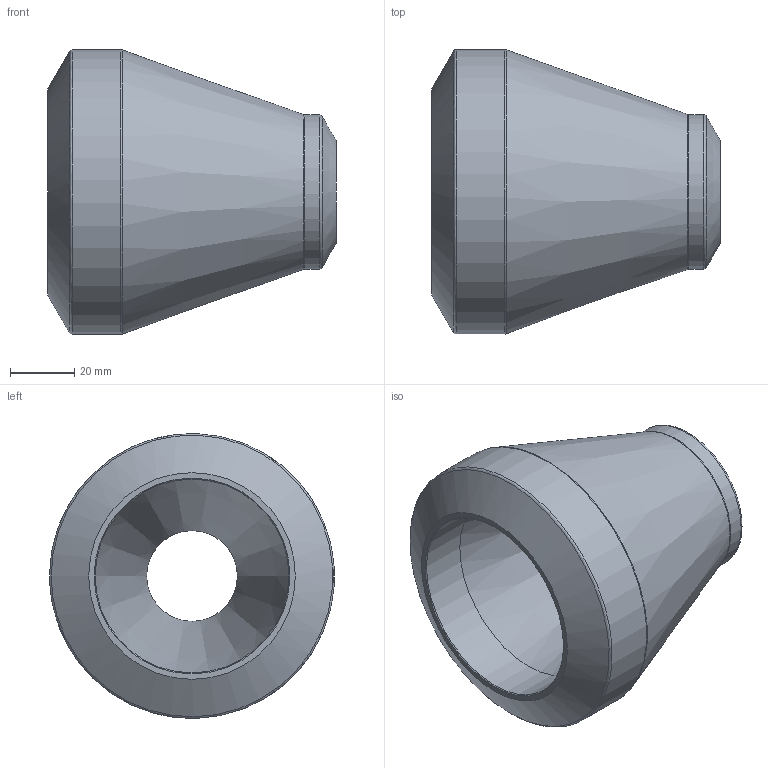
import cadquery as cq
import math


LENGTH = 90.0
LARGE_OUTER_DIAMETER = 88.9
LARGE_BORE_DIAMETER = 60.5
SMALL_OUTER_DIAMETER = 48.3
SMALL_BORE_DIAMETER = 28.3

LAND_WIDTH = 2.0
BEVEL_ANGLE = math.radians(30)

LARGE_OUTER_STRAIGHT = 23.0
LARGE_BORE_STRAIGHT = 15.0
SMALL_STRAIGHT = 10.0

EDGE_RADIUS = 1.0
MOUTH_CHAMFER = 0.3

large_outer_radius = LARGE_OUTER_DIAMETER / 2
large_bore_radius = LARGE_BORE_DIAMETER / 2
small_outer_radius = SMALL_OUTER_DIAMETER / 2
small_bore_radius = SMALL_BORE_DIAMETER / 2
large_land_radius = large_bore_radius + LAND_WIDTH
small_land_radius = small_bore_radius + LAND_WIDTH

large_bevel_end = (large_outer_radius - large_land_radius) * math.tan(BEVEL_ANGLE)
outer_cone_start = LARGE_OUTER_STRAIGHT
cone_end = LENGTH - SMALL_STRAIGHT
small_bevel_start = LENGTH - (small_outer_radius - small_land_radius) * math.tan(BEVEL_ANGLE)


def make_body():
    """Revolve the sharp-edged wall section, given as (axial position, radius)."""
    outside = [
        (0, large_land_radius),
        (large_bevel_end, large_outer_radius),
        (outer_cone_start, large_outer_radius),
        (cone_end, small_outer_radius),
        (small_bevel_start, small_outer_radius),
        (LENGTH, small_land_radius),
    ]
    bore = [
        (LENGTH, small_bore_radius),
        (cone_end, small_bore_radius),
        (LARGE_BORE_STRAIGHT, large_bore_radius),
        (0, large_bore_radius),
    ]
    section = cq.Workplane("XY").polyline(outside + bore).close()
    return section.revolve(360, (0, 0, 0), (1, 0, 0))


def circle_at(body, axial_position, radius_rank):
    """Select a circular edge centred on the axis: rank 0 is the smallest, -1 the largest."""
    tolerance = 0.01
    lower = (axial_position - tolerance, -tolerance, -tolerance)
    upper = (axial_position + tolerance, tolerance, tolerance)
    circles = body.edges("%CIRCLE").edges(cq.selectors.BoxSelector(lower, upper))
    return circles.edges(cq.selectors.RadiusNthSelector(radius_rank))


def round_outer_edges(body):
    """Round the edges where the outside changes direction."""
    for axial_position in (large_bevel_end, outer_cone_start, cone_end, small_bevel_start):
        body = circle_at(body, axial_position, -1).fillet(EDGE_RADIUS)
    return body


def chamfer_large_mouth(body):
    """Break the bore edge at the large end face."""
    return circle_at(body, 0, 0).chamfer(MOUTH_CHAMFER)


result = chamfer_large_mouth(round_outer_edges(make_body()))